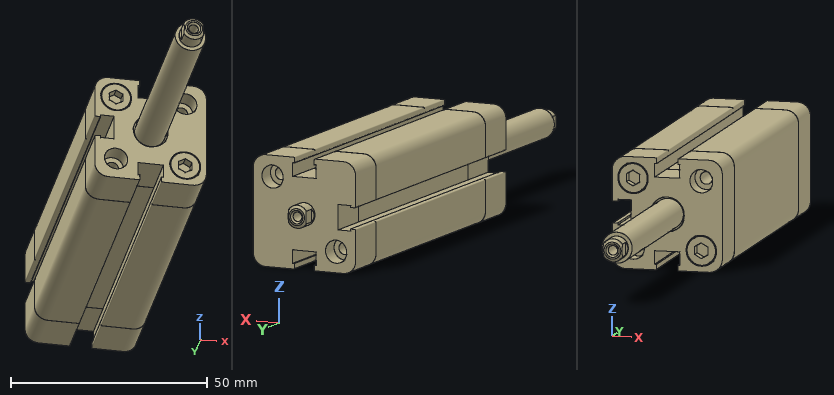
import math

import cadquery as cq


body_length = 88.0
cap_length = 12.0
profile_side = 29.0
cap_side = 29.05
corner_radius = 3.5

slot_mouth_width = 5.6
slot_mouth_radius = 0.3
slot_width = 6.6
slot_depth = 5.0
slot_lip = 1.5
slot_angles = (0, -90, -180)

fastener_offset = 9.0
through_hole_diameter = 3.24
counterbore_diameter = 6.0
counterbore_depth = 5.0
screw_seat_diameter = 8.0
screw_head_diameter = 7.5
screw_seat_depth = 4.0
screw_socket_flats = 3.5
screw_socket_depth = 2.5

rod_diameter = 8.0
rod_stroke = 50.0
rod_seat_diameter = 9.0
rod_seat_depth = 1.0
tip_diameter = 6.0
tip_length = 4.5
tip_chamfer_width = 0.8
tip_chamfer_angle = 30.0
tip_flats = 5.0
tip_flat_length = 3.5
tip_hole_diameter = 2.46
tip_hole_mouth = 3.5
tip_hole_depth = 8.0
drill_point_angle = 118.0


def cylinder(diameter, y_start, length, x=0.0, z=0.0):
    """Cylinder along +Y from y_start."""
    return cq.Workplane(cq.Solid.makeCylinder(
        diameter / 2, length, cq.Vector(x, y_start, z), cq.Vector(0, 1, 0)))


def slotted_bar(side, y_start, length):
    """Square bar along +Y with rounded long edges and T-slots."""
    bar = cq.Workplane("XY").box(side, length, side, centered=(True, False, True))
    bar = bar.edges("|Y").fillet(corner_radius)
    for angle in slot_angles:
        bar = bar.cut(slot_cutter(side, length, angle))
    return bar.translate((0, y_start, 0))


def slot_cutter(side, length, angle):
    """T-slot in the top face of a square bar, turned about the Y axis by the given angle."""
    floor = side / 2 - slot_depth
    top = side / 2
    lip_bottom = top - slot_lip
    round_bottom = top - slot_mouth_radius
    half_slot = slot_width / 2
    half_throat = slot_mouth_width / 2
    half_mouth = half_throat + slot_mouth_radius
    cutter = (
        cq.Workplane("XZ")
        .moveTo(-half_slot, floor)
        .lineTo(half_slot, floor)
        .lineTo(half_slot, lip_bottom)
        .lineTo(half_throat, lip_bottom)
        .lineTo(half_throat, round_bottom)
        .radiusArc((half_mouth, top), slot_mouth_radius)
        .lineTo(-half_mouth, top)
        .radiusArc((-half_throat, round_bottom), slot_mouth_radius)
        .lineTo(-half_throat, lip_bottom)
        .lineTo(-half_slot, lip_bottom)
        .close()
        .extrude(-length)
    )
    return cutter.rotate((0, 0, 0), (0, 1, 0), angle)


def make_body():
    """Middle profile with an end cap at each end."""
    body = slotted_bar(profile_side, cap_length, body_length - 2 * cap_length)
    for y_start in (0, body_length - cap_length):
        body = body.union(slotted_bar(cap_side, y_start, cap_length))
    return body


def cut_mounting_hole(body, x, z):
    """Through hole with a counterbore in both end faces."""
    body = body.cut(cylinder(through_hole_diameter, 0, body_length, x, z))
    for y_start in (0, body_length - counterbore_depth):
        body = body.cut(cylinder(counterbore_diameter, y_start, counterbore_depth, x, z))
    return body


def add_cap_screw(body, x, z):
    """Sunk socket-head screw, flush with the front face."""
    seat = cylinder(screw_seat_diameter, 0, screw_seat_depth, x, z)
    head = cylinder(screw_head_diameter, 0, screw_seat_depth, x, z)
    socket = (
        cq.Workplane("XZ")
        .polygon(6, screw_socket_flats, circumscribed=True)
        .extrude(-screw_socket_depth)
        .translate((x, 0, z))
    )
    return body.cut(seat).union(head).cut(socket)


def rod_tip():
    """Rod end pointing to -Y with its shoulder at Y = 0 and two flats with sloped run-outs."""
    tip_radius = tip_diameter / 2
    end_radius = tip_radius - tip_chamfer_width
    chamfer_length = tip_chamfer_width * math.tan(math.radians(tip_chamfer_angle))
    half_section = cq.Workplane("XY").polyline([
        (0, -tip_length),
        (end_radius, -tip_length),
        (tip_radius, chamfer_length - tip_length),
        (tip_radius, 0),
        (0, 0),
    ])
    tip = half_section.close().revolve(360, (0, 0, 0), (0, 1, 0))
    flat_end = tip_flat_length - tip_length
    half_flats = tip_flats / 2
    run_out_end = flat_end + tip_radius - half_flats
    kept = (
        cq.Workplane("XY")
        .polyline([
            (-half_flats, -tip_length),
            (half_flats, -tip_length),
            (half_flats, flat_end),
            (tip_radius, run_out_end),
            (tip_radius, 0),
            (-tip_radius, 0),
            (-tip_radius, run_out_end),
            (-half_flats, flat_end),
        ])
        .close()
        .extrude(tip_radius, both=True)
    )
    return tip.intersect(kept)


def tip_hole():
    """Drilled blind hole with a chamfered mouth and a conical bottom, entering a rod tip from -Y."""
    hole_radius = tip_hole_diameter / 2
    mouth_radius = tip_hole_mouth / 2
    mouth_end = mouth_radius - hole_radius - tip_length
    hole_end = tip_hole_depth - tip_length
    point_length = hole_radius / math.tan(math.radians(drill_point_angle / 2))
    half_section = cq.Workplane("XY").polyline([
        (0, -tip_length),
        (mouth_radius, -tip_length),
        (hole_radius, mouth_end),
        (hole_radius, hole_end),
        (0, hole_end + point_length),
    ])
    return half_section.close().revolve(360, (0, 0, 0), (0, 1, 0))


def place_front(tool):
    """Move a rod-tip shape to the front end of the rod."""
    return tool.translate((0, -rod_stroke, 0))


def place_rear(tool):
    """Turn a rod-tip shape around and move it to the rear face of the body."""
    return tool.rotate((0, 0, 0), (0, 0, 1), 180).translate((0, body_length, 0))


def add_rod(body):
    """Piston rod in a recess of the front face, with a drilled tip at both ends."""
    body = body.cut(cylinder(rod_seat_diameter, 0, rod_seat_depth))
    body = body.union(cylinder(rod_diameter, -rod_stroke, rod_stroke + rod_seat_depth))
    for place in (place_front, place_rear):
        body = body.union(place(rod_tip())).cut(place(tip_hole()))
    return body


result = make_body()
for side in (-1, 1):
    result = cut_mounting_hole(result, side * fastener_offset, side * fastener_offset)
    result = add_cap_screw(result, side * fastener_offset, -side * fastener_offset)
result = add_rod(result)